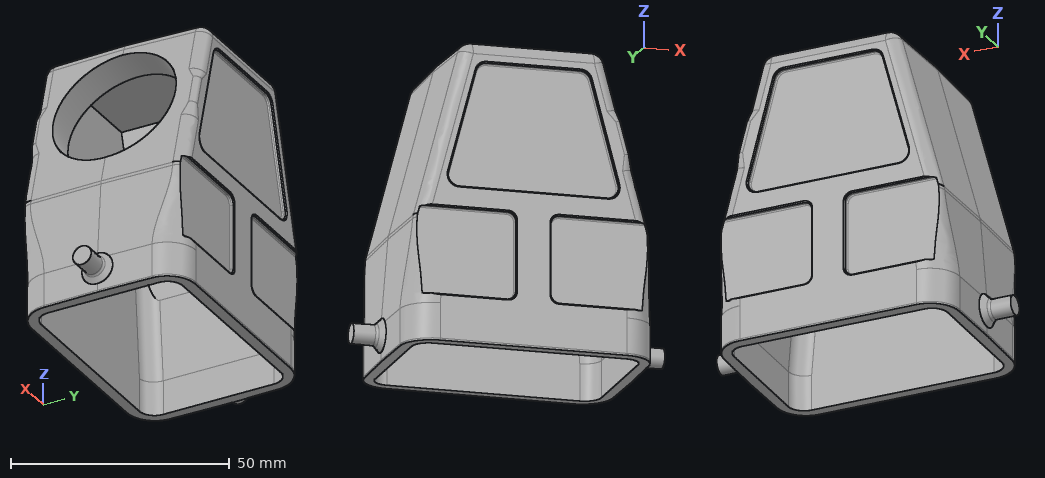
import math

import cadquery as cq

base_half_x = 30.0
half_y = 21.5
height = 72.0
base_top = 8.9
draft = 1.0
lower_tilt = 4.6
upper_tilt = 15.0
bend_bottom = 29.2
bend_top = 30.1
base_corner = 7.5
upper_corner = 3.0
taper_steps = 6
rim_height = 0.5
rim_inset = 0.1

wall = 3.0
entry_wall = 7.75
cavity_corner = 4.0

entry_diameter = 32.0
entry_height = 52.6
entry_corner = 1.5
corner_block = 3.2
entry_corner_heights = (44.3, 48.0, 55.6, 58.4)

pocket_depth = 1.2
window_corner = 2.6
grip_corner = 2.0
pocket_round = 0.3
bevel_angle = 45.0
window_bottom = 37.0
window_top = 66.7
window_margin = 5.1
grip_bottom = 11.1
grip_top = 31.8
grip_inner_x = 4.2

pin_diameter = 4.8
pin_end = 37.1
pin_height = 6.15
collar_diameter = 8.1
collar_start = 29.9
collar_fillet = 1.0

clearance = 1.0

draft_slope = math.tan(math.radians(draft))
crown = half_y * draft_slope
lower_slope = math.tan(math.radians(lower_tilt))
upper_slope = math.tan(math.radians(upper_tilt))
bend_slope = math.tan(math.radians((lower_tilt + upper_tilt) / 2))
bend_bottom_x = base_half_x - (bend_bottom - base_top) * lower_slope
bend_top_x = bend_bottom_x - (bend_top - bend_bottom) * bend_slope


def upper_half_x(z):
    """Half width of the upper part at height z, in the ridge plane."""
    return bend_top_x - (z - bend_top) * upper_slope


top_half_x = upper_half_x(height)


def sharp_outline(z, half_x):
    """Horizontal outline whose X sides are slightly roofed at y = 0."""
    end_x = half_x - crown
    points = [
        (half_x, 0),
        (end_x, half_y),
        (-end_x, half_y),
        (-half_x, 0),
        (-end_x, -half_y),
        (end_x, -half_y),
    ]
    return cq.Workplane("XY").workplane(offset=z).polyline(points).close()


def hood_section(z, half_x, corner):
    """Outline wire at height z with its four corners rounded."""
    prism = sharp_outline(z, half_x).extrude(1)
    corners = prism.edges("|Z").edges("<Y or >Y")
    return corners.fillet(corner).faces("<Z").wires().val()


def loft(sections, ruled=True):
    return cq.Workplane(obj=cq.Solid.makeLoft(sections, ruled))


def base_band():
    band = loft(
        [
            hood_section(0, base_half_x, base_corner),
            hood_section(base_top, base_half_x, base_corner),
        ]
    )
    return band.faces("<Z").edges().chamfer(rim_height, rim_inset)


def tapering_band():
    """Band above the base whose corner radius shrinks smoothly with height."""
    sections = []
    for step in range(taper_steps + 1):
        t = step / taper_steps
        blend = t * t * (3 - 2 * t)
        z = base_top + t * (bend_bottom - base_top)
        half_x = base_half_x + t * (bend_bottom_x - base_half_x)
        sections.append(hood_section(z, half_x, base_corner + blend * (upper_corner - base_corner)))
    return loft(sections, ruled=False)


def bend_band():
    return loft(
        [
            hood_section(bend_bottom, bend_bottom_x, upper_corner),
            hood_section(bend_top, bend_top_x, upper_corner),
        ]
    )


def upper_hood():
    """Sloped upper part with a slightly roofed top, rounded along its edges."""
    foot = sharp_outline(bend_top, bend_top_x).wire().val()
    head = sharp_outline(height, top_half_x).wire().val()
    tall = loft([foot, head])
    gable = [
        (-half_y, bend_top),
        (half_y, bend_top),
        (half_y, height - crown),
        (0, height),
        (-half_y, height - crown),
    ]
    roof = cq.Workplane("YZ").polyline(gable).close().extrude(base_half_x, both=True)
    sharp = tall.intersect(roof)
    span = 2 * base_half_x
    above_bend = cq.selectors.BoxSelector((-span, -span, bend_top + clearance), (span, span, height + clearance))
    ridge_plane = cq.selectors.BoxSelector((-span, -clearance, 0), (span, clearance, height + clearance))
    return sharp.edges(above_bend - ridge_plane).fillet(upper_corner)


def corner_filler(z, radius):
    """Section across an upper +X corner: a square block whose outer corner has the given radius.

    The corner edge runs up the slope; the section lies across it.
    """
    edge = cq.Vector(upper_half_x(z) - crown, -half_y, z)
    across_slope = cq.Vector(draft_slope, 1, 0).normalized()
    across_front = cq.Vector(-1, 0, -upper_slope).normalized()

    def point(slope_distance, front_distance):
        return edge + across_slope * slope_distance + across_front * front_distance

    arc = cq.Edge.makeTangentArc(point(0, radius), across_front * -1, point(radius, 0))
    corners = [
        point(radius, 0),
        point(corner_block, 0),
        point(corner_block, corner_block),
        point(0, corner_block),
        point(0, radius),
    ]
    sides = [cq.Edge.makeLine(a, b) for a, b in zip(corners, corners[1:])]
    return cq.Wire.assembleEdges([arc] + sides)


def entry_corners():
    """Fuller corners beside the cable entry, blending into the normal corner radius."""
    start, full_start, full_end, end = entry_corner_heights
    front = loft(
        [
            corner_filler(start, upper_corner),
            corner_filler(full_start, entry_corner),
            corner_filler(full_end, entry_corner),
            corner_filler(end, upper_corner),
        ]
    )
    return front.union(front.mirror("XZ"))


def cavity():
    """Hollow open at the bottom, with a thick wall behind the cable entry."""
    base_x = base_half_x - wall
    slope_shift = wall / math.cos(math.radians(upper_tilt))
    entry_shift = entry_wall / math.cos(math.radians(upper_tilt))
    ceiling = height - wall
    profile = [
        (-base_x, 0),
        (base_x, 0),
        (base_x, base_top),
        (bend_bottom_x - wall, bend_bottom),
        (upper_half_x(bend_bottom) - entry_shift, bend_bottom),
        (upper_half_x(ceiling) - entry_shift, ceiling),
        (slope_shift - upper_half_x(ceiling), ceiling),
        (wall - bend_bottom_x, bend_bottom),
        (-base_x, base_top),
    ]
    hollow = cq.Workplane("XZ").polyline(profile).close().extrude(half_y - wall, both=True)
    return hollow.edges("|Z").fillet(cavity_corner)


def cable_entry():
    """Bore square to the +X slope, through the thick wall."""
    outward = (math.cos(math.radians(upper_tilt)), 0, math.sin(math.radians(upper_tilt)))
    slope = cq.Plane((upper_half_x(entry_height), 0, entry_height), xDir=(0, 1, 0), normal=outward)
    bore_depth = entry_wall + clearance
    bore = cq.Workplane(slope).workplane(offset=-bore_depth).circle(entry_diameter / 2)
    return bore.extrude(2 * bore_depth)


def pocket(points, corner):
    """Recess in the -Y face with rounded corners, a rounded floor edge and a bevelled mouth."""
    floor = cq.Workplane("XZ", origin=(0, pocket_depth - half_y, 0))
    recess = floor.polyline(points).close().extrude(pocket_depth).edges("|Y").fillet(corner)
    mouth = (
        cq.Workplane("XZ", origin=(0, pocket_round - half_y, 0))
        .add(recess.faces("<Y").wires().translate((0, pocket_round, 0)))
        .toPending()
        .extrude(pocket_round, taper=-bevel_angle)
    )
    return recess.faces(">Y").edges().fillet(pocket_round).union(mouth)


def front_pockets():
    margin = window_margin / math.cos(math.radians(upper_tilt))
    bottom_x = upper_half_x(window_bottom) - margin
    top_x = upper_half_x(window_top) - margin
    window = pocket(
        [(-bottom_x, window_bottom), (bottom_x, window_bottom), (top_x, window_top), (-top_x, window_top)],
        window_corner,
    )
    outer_x = base_half_x + 2 * grip_corner
    grip = pocket(
        [(grip_inner_x, grip_bottom), (outer_x, grip_bottom), (outer_x, grip_top), (grip_inner_x, grip_top)],
        grip_corner,
    )
    return [window, grip, grip.mirror("YZ")]


def cut_pockets(body):
    """Cut the same pockets into both flat faces."""
    for recess in front_pockets():
        body = body.cut(recess).cut(recess.mirror("XZ"))
    return body


def locking_pin():
    """Pin on the +X side, with a 45 degree collar that runs into it through a fillet."""
    pin_radius = pin_diameter / 2
    collar_radius = collar_diameter / 2
    cone_end = collar_start + collar_radius - pin_radius
    inner_x = base_half_x - wall
    profile = [
        (inner_x, 0),
        (inner_x, collar_radius),
        (collar_start, collar_radius),
        (cone_end, pin_radius),
        (pin_end, pin_radius),
        (pin_end, 0),
    ]
    pin = cq.Workplane("XY").polyline(profile).close().revolve(360, (0, 0, 0), (1, 0, 0))
    neck = cq.selectors.BoxSelector(
        (cone_end - clearance, -collar_radius, -collar_radius),
        (cone_end + clearance, collar_radius, collar_radius),
        True,
    )
    return pin.edges(neck).fillet(collar_fillet).translate((0, 0, pin_height))


def build_hood():
    hood = base_band().union(tapering_band()).union(bend_band()).union(upper_hood())
    hood = hood.union(entry_corners())
    hood = cut_pockets(hood)
    hood = hood.cut(cavity()).cut(cable_entry())
    pin = locking_pin()
    return hood.union(pin).union(pin.mirror("YZ"))


result = build_hood()